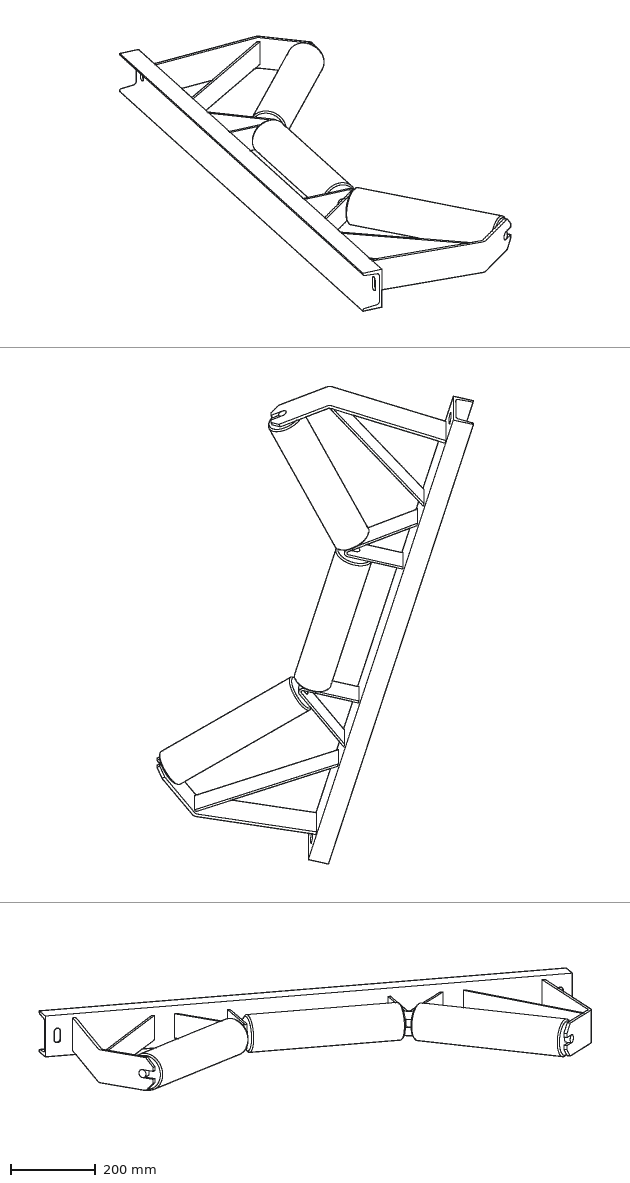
import cadquery as cq
import math


CHANNEL_LENGTH = 1300.0
CHANNEL_WIDTH = 100.0
FLANGE_LENGTH = 50.0
WEB_THICKNESS = 6.0
FLANGE_THICKNESS = 8.5
FLANGE_SLOPE = 0.08
ROOT_RADIUS = 8.5
TIP_RADIUS = 4.5
MOUNT_SLOT_WIDTH = 15.0
MOUNT_SLOT_LENGTH = 35.0
MOUNT_SLOT_INSET = 30.0

ROLLER_DIAMETER = 90.0
ROLLER_LENGTH = 380.0
ROLLER_CHAMFER = 4.0
SHAFT_DIAMETER = 20.0
CENTRE_ROLLER_Y = 116.0
TROUGH_ANGLE = 40.0
WING_ROLLER_X = 373.0
WING_ROLLER_Y = 254.0

OUTER_THICKNESS = 8.0
OUTER_WIDTH = 80.0
OUTER_GAP = 6.0
OUTER_TIP_REACH = 30.0
OUTER_BEND_DROP = 122.0
OUTER_BEND_RADIUS = 15.0
OUTER_LEG_ANGLE = 85.0
TIP_CHAMFER = 21.0

INNER_THICKNESS = 6.0
INNER_WIDTH = 60.0
INNER_GAP = 5.0
INNER_BEND_RADIUS = 10.0
BRACE_FOOT_X = 381.0
BRACE_RISE = 5.0

X_AXIS = cq.Vector(1, 0)
Y_AXIS = cq.Vector(0, 1)
Z_AXIS = cq.Vector(0, 0, 1)


def direction_at(angle):
    """Unit vector in XY at an angle in degrees from the X axis."""
    return cq.Vector(math.cos(math.radians(angle)), math.sin(math.radians(angle)))


def meeting_point(start_a, direction_a, start_b, direction_b):
    """Point where two lines in XY cross."""
    run = (start_b - start_a).cross(direction_b).z / direction_a.cross(direction_b).z
    return start_a + direction_a * run


def foot(start, direction):
    """Point where a line in XY meets the back of the channel web."""
    return meeting_point(start, direction, cq.Vector(0, 0), X_AXIS)


def bar(points, width):
    """Flat bar: an outline in XY, extruded to a width centred on Z = 0."""
    outline = [(point.x, point.y) for point in points]
    return cq.Workplane(origin=(0, 0, -width / 2)).polyline(outline).close().extrude(width)


def nearest_edge(body, point):
    return body.edges(cq.selectors.NearestToPointSelector(point.toTuple()))


def cylinder(centre, axis, diameter, length):
    """Cylinder centred on a point, with its axis in XY."""
    plane = cq.Plane(origin=centre - axis * (length / 2), xDir=Z_AXIS, normal=axis)
    return cq.Workplane(plane).circle(diameter / 2).extrude(length)


def shaft_slot(centre, axis, opening):
    """Cutter for a round-bottomed shaft slot that runs from a point in the opening direction."""
    depth = 2 * OUTER_THICKNESS
    reach = ROLLER_DIAMETER / 2
    plane = cq.Plane(origin=centre - axis * (depth / 2), xDir=opening, normal=axis)
    mouth = cq.Workplane(plane).center(reach / 2, 0).rect(reach, SHAFT_DIAMETER).extrude(depth)
    return cylinder(centre, axis, SHAFT_DIAMETER, depth).union(mouth)


wing_axis = direction_at(-TROUGH_ANGLE)
plate_direction = direction_at(90 - TROUGH_ANGLE)
leg_direction = direction_at(180 - OUTER_LEG_ANGLE)
leg_normal = direction_at(90 - OUTER_LEG_ANGLE)
wing_centre = cq.Vector(-WING_ROLLER_X, WING_ROLLER_Y)
centre_roller_centre = cq.Vector(0, CENTRE_ROLLER_Y)

outer_near = ROLLER_LENGTH / 2 + OUTER_GAP
outer_far = outer_near + OUTER_THICKNESS
inner_near = ROLLER_LENGTH / 2 + INNER_GAP
inner_far = inner_near + INNER_THICKNESS

plate_back = wing_centre - wing_axis * outer_far
plate_front = wing_centre - wing_axis * outer_near
back_bend = plate_back - plate_direction * OUTER_BEND_DROP
front_bend = meeting_point(
    plate_front, plate_direction, back_bend + leg_normal * OUTER_THICKNESS, leg_direction
)


def make_channel():
    half = CHANNEL_WIDTH / 2
    middle_face = half - FLANGE_THICKNESS
    root = middle_face - FLANGE_SLOPE * (FLANGE_LENGTH / 2 - WEB_THICKNESS)
    tip = middle_face + FLANGE_SLOPE * FLANGE_LENGTH / 2
    profile = [
        (0, half),
        (-FLANGE_LENGTH, half),
        (-FLANGE_LENGTH, tip),
        (-WEB_THICKNESS, root),
        (-WEB_THICKNESS, -root),
        (-FLANGE_LENGTH, -tip),
        (-FLANGE_LENGTH, -half),
        (0, -half),
    ]
    start = cq.Workplane("YZ", origin=(-CHANNEL_LENGTH / 2, 0, 0))
    body = start.polyline(profile).close().extrude(CHANNEL_LENGTH)
    for side in (-1, 1):
        body = nearest_edge(body, cq.Vector(0, -WEB_THICKNESS, side * root)).fillet(ROOT_RADIUS)
        body = nearest_edge(body, cq.Vector(0, -FLANGE_LENGTH, side * tip)).fillet(TIP_RADIUS)
    slot_x = CHANNEL_LENGTH / 2 - MOUNT_SLOT_INSET
    slots = (
        cq.Workplane("XZ")
        .pushPoints([(-slot_x, 0), (slot_x, 0)])
        .slot2D(MOUNT_SLOT_LENGTH, MOUNT_SLOT_WIDTH, 90)
        .extrude(WEB_THICKNESS)
    )
    return body.cut(slots)


def make_roller(centre, axis, shaft_start, shaft_end):
    """Chamfered roller whose shaft runs out to the given distances before and after its middle."""
    shell = cylinder(centre, axis, ROLLER_DIAMETER, ROLLER_LENGTH).edges("%CIRCLE").chamfer(ROLLER_CHAMFER)
    shaft_centre = centre + axis * ((shaft_end - shaft_start) / 2)
    return shell.union(cylinder(shaft_centre, axis, SHAFT_DIAMETER, shaft_start + shaft_end))


def make_outer_bracket():
    """Left outer bracket: a leg bent into the plate that holds the wing roller's outer end."""
    back_tip = plate_back + plate_direction * OUTER_TIP_REACH
    front_tip = plate_front + plate_direction * OUTER_TIP_REACH
    outline = [
        foot(back_bend, leg_direction),
        back_bend,
        back_tip,
        front_tip,
        front_bend,
        foot(front_bend, leg_direction),
    ]
    body = bar(outline, OUTER_WIDTH)
    body = nearest_edge(body, back_bend).fillet(OUTER_BEND_RADIUS)
    body = nearest_edge(body, front_bend).fillet(OUTER_BEND_RADIUS - OUTER_THICKNESS)
    for side in (-1, 1):
        corner = (back_tip + front_tip) * 0.5 + Z_AXIS * (side * OUTER_WIDTH / 2)
        body = nearest_edge(body, corner).chamfer(TIP_CHAMFER)
    slot_centre = (plate_back + plate_front) * 0.5
    return body.cut(shaft_slot(slot_centre, wing_axis, plate_direction))


def make_brace(bracket):
    """Left brace: a straight bar from the channel to the inside of the outer bracket's bend."""
    upper_foot = cq.Vector(-BRACE_FOOT_X, 0)
    upper_top = front_bend + plate_direction * BRACE_RISE
    direction = (upper_top - upper_foot).normalized()
    lower_start = upper_foot + Z_AXIS.cross(direction) * INNER_THICKNESS
    lower_top = meeting_point(lower_start, direction, front_bend, leg_direction)
    outline = [upper_foot, upper_top, front_bend, lower_top, foot(lower_start, direction)]
    return bar(outline, INNER_WIDTH).cut(bracket)


def make_inner_bracket():
    """Left inner bracket: a bar folded over between the wing roller and the centre roller."""
    wing_near = wing_centre + wing_axis * inner_near
    wing_far = wing_centre + wing_axis * inner_far
    centre_near = centre_roller_centre - X_AXIS * inner_near
    centre_far = centre_roller_centre - X_AXIS * inner_far
    outer_bend = meeting_point(wing_near, plate_direction, centre_near, Y_AXIS)
    inner_bend = meeting_point(wing_far, plate_direction, centre_far, Y_AXIS)
    outline = [
        foot(wing_near, plate_direction),
        outer_bend,
        foot(centre_near, Y_AXIS),
        foot(centre_far, Y_AXIS),
        inner_bend,
        foot(wing_far, plate_direction),
    ]
    body = bar(outline, INNER_WIDTH)
    body = nearest_edge(body, outer_bend).fillet(INNER_BEND_RADIUS)
    body = nearest_edge(body, inner_bend).fillet(INNER_BEND_RADIUS - INNER_THICKNESS)
    wing_slot = shaft_slot((wing_near + wing_far) * 0.5, wing_axis, plate_direction)
    centre_slot = shaft_slot((centre_near + centre_far) * 0.5, X_AXIS, Y_AXIS)
    return body.cut(wing_slot).cut(centre_slot)


channel = make_channel()
centre_roller = make_roller(centre_roller_centre, X_AXIS, inner_far, inner_far)
wing_roller = make_roller(wing_centre, wing_axis, outer_far, inner_far)
outer_bracket = make_outer_bracket()
brace = make_brace(outer_bracket)
inner_bracket = make_inner_bracket()

bodies = [*channel.solids().vals(), *centre_roller.solids().vals()]
for left_body in (wing_roller, outer_bracket, brace, inner_bracket):
    bodies.extend(left_body.solids().vals())
    bodies.extend(left_body.mirror("YZ").solids().vals())

result = cq.Compound.makeCompound(bodies)